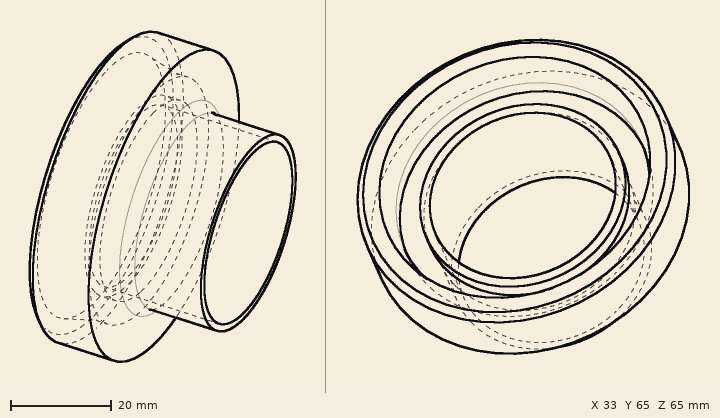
import cadquery as cq
import math

total_length = 33.0
flange_radius = 65 / 2
flange_edge_end = 14.05
flange_chamfer = 1.5
back_slope_angle = 10
hub_radius = 41.0 / 2
root_fillet = 2.4

bore_radius = 38.0 / 2
collar_radius = 42.0 / 2
recess_radius = 51.8 / 2
recess_mouth_radius = 55.4 / 2
taper_depth = 7.2
recess_depth = 10.6
collar_face = taper_depth

back_slope_length = (flange_radius - hub_radius) * math.tan(math.radians(back_slope_angle))
hub_start = flange_edge_end + back_slope_length

half_section = [
    (0, recess_mouth_radius),
    (0, flange_radius - flange_chamfer),
    (flange_chamfer, flange_radius),
    (flange_edge_end, flange_radius),
    (hub_start, hub_radius),
    (total_length, hub_radius),
    (total_length, bore_radius),
    (collar_face, bore_radius),
    (collar_face, collar_radius),
    (recess_depth, collar_radius),
    (recess_depth, recess_radius),
    (taper_depth, recess_radius),
]
body = cq.Workplane("XY").polyline(half_section).close().revolve(360, (0, 0, 0), (1, 0, 0))

result = body.edges(cq.selectors.NearestToPointSelector((hub_start, 0, 0))).fillet(root_fillet)